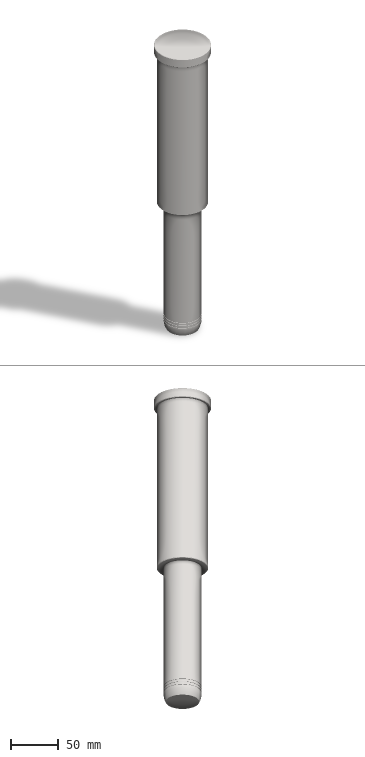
import cadquery as cq
import math

total_length = 351.0
head_height = 10.2
shoulder_depth = 196.0
body_bottom = total_length - shoulder_depth

head_diameter = 60.0
body_diameter = 54.0
pin_diameter = 40.0

edge_chamfer = 0.53

lead_in_height = 8.8
lead_in_radius = 17.5

groove_count = 3
groove_width = 1.0
groove_depth = 0.53
groove_pitch = 3.0
groove_gap = 1.5
first_groove_bottom = lead_in_height + groove_gap


def cylinder(diameter, bottom, top):
    return cq.Workplane("XY").workplane(offset=bottom).circle(diameter / 2).extrude(top - bottom)


def pin():
    """Pin whose lower end curves inward along a circular arc."""
    radius = pin_diameter / 2
    arc_center = radius - lead_in_radius
    foot_angle = math.asin(lead_in_height / lead_in_radius)
    foot_radius = arc_center + lead_in_radius * math.cos(foot_angle)
    middle_radius = arc_center + lead_in_radius * math.cos(foot_angle / 2)
    middle_height = lead_in_height - lead_in_radius * math.sin(foot_angle / 2)
    return (
        cq.Workplane("XZ")
        .lineTo(foot_radius, 0)
        .threePointArc((middle_radius, middle_height), (radius, lead_in_height))
        .lineTo(radius, body_bottom)
        .lineTo(0, body_bottom)
        .close()
        .revolve(360, (0, 0, 0), (0, 1, 0))
    )


def ring_groove(bottom):
    top = bottom + groove_width
    core_diameter = pin_diameter - 2 * groove_depth
    return cylinder(head_diameter, bottom, top).cut(cylinder(core_diameter, bottom, top))


head_bottom = total_length - head_height
head = cylinder(head_diameter, head_bottom, total_length).edges().chamfer(edge_chamfer)
body = cylinder(body_diameter, body_bottom, head_bottom).faces("<Z").edges().chamfer(edge_chamfer)

result = pin().union(body).union(head)
for index in range(groove_count):
    result = result.cut(ring_groove(first_groove_bottom + index * groove_pitch))